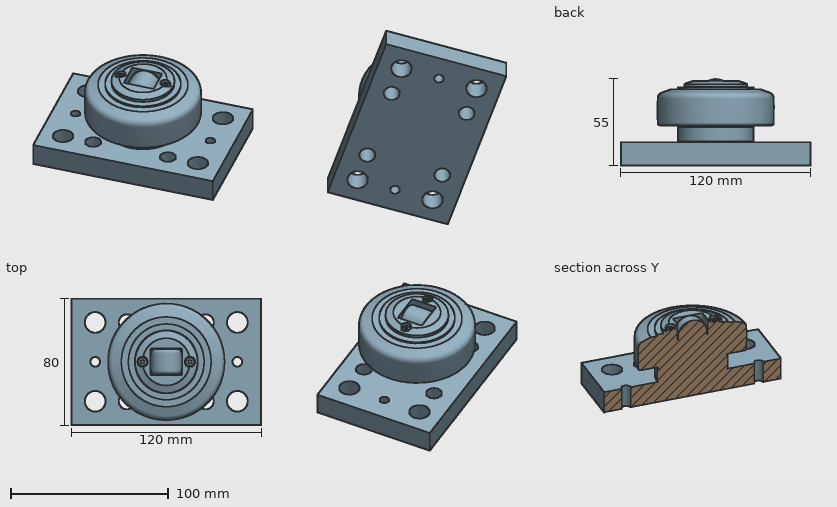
import cadquery as cq

plate_length = 120.0
plate_width = 80.0
plate_height = 15.0
hole_row_x = 45.0
hole_row_y = 25.0
inner_hole_x = hole_row_y
mounting_diameter = 13.0
inner_diameter = 10.1
dowel_diameter = 6.0

neck_radius = 24.0
neck_top = 24.8
race_top = 49.5
neck_chamfer = 0.5

ring_radius = 37.0
ring_crown = 0.1
ring_bottom = 25.5
ring_top = 48.5
ring_flat_radius = 28.5
ring_bottom_edge = 1.8
cone_end_radius = 34.2
cone_end_z = 46.3
ring_side_top = 42.7
ring_top_arc_radius = 4.1

cover_radius = 40.0 / 2
cover_flat_radius = 15.0
cover_cone_z = 51.7
cover_top = 53.6
cover_chamfer = 0.3

window_length = 20.0
window_width = 17.0
window_corner = 1.1
window_depth = 10.8
roller_radius = 10.0
roller_length = 16.0
roller_edge = 2.4
roller_crown = 0.1
overall_height = 55.0
roller_axis_z = overall_height - roller_radius

screw_x = 15.0
screw_hole_diameter = 6.5
screw_head_diameter = 6.0
screw_head_chamfer = 0.3
screw_socket_diameter = 2.4
screw_head_top = 51.6
screw_hole_bottom = 50.4
screw_socket_depth = 0.7
socket_turn = 30


def make_plate():
    """Plate with its mounting, inner and dowel holes all drilled through."""
    plate = cq.Workplane("XY").box(plate_length, plate_width, plate_height, centered=(True, True, False))
    corners = [(sx, sy) for sx in (-1, 1) for sy in (-1, 1)]
    mounting_points = [(sx * hole_row_x, sy * hole_row_y) for sx, sy in corners]
    inner_points = [(sx * inner_hole_x, sy * hole_row_y) for sx, sy in corners]
    dowel_points = [(-hole_row_x, 0), (hole_row_x, 0)]
    for points, diameter in (
        (mounting_points, mounting_diameter),
        (inner_points, inner_diameter),
        (dowel_points, dowel_diameter),
    ):
        plate = plate.cut(cq.Workplane("XY").pushPoints(points).circle(diameter / 2).extrude(plate_height))
    return plate


def make_ring_stack():
    """Neck, roller ring and cover as one turned profile in the XZ plane."""
    side_radius = ring_radius - ring_crown
    side_bottom = ring_bottom + ring_bottom_edge
    side_middle = (side_bottom + ring_side_top) / 2
    profile = (
        cq.Workplane("XZ")
        .moveTo(0, plate_height)
        .lineTo(neck_radius - neck_chamfer, plate_height)
        .lineTo(neck_radius, plate_height + neck_chamfer)
        .lineTo(neck_radius, neck_top - neck_chamfer)
        .lineTo(neck_radius - neck_chamfer, neck_top)
        .lineTo(neck_radius, ring_bottom)
        .lineTo(side_radius - ring_bottom_edge, ring_bottom)
        .radiusArc((side_radius, side_bottom), -ring_bottom_edge)
        .threePointArc((ring_radius, side_middle), (side_radius, ring_side_top))
        .radiusArc((cone_end_radius, cone_end_z), -ring_top_arc_radius)
        .lineTo(ring_flat_radius, ring_top)
        .lineTo(neck_radius, ring_top)
        .lineTo(neck_radius, race_top)
        .lineTo(cover_radius - cover_chamfer, race_top)
        .lineTo(cover_radius, race_top + cover_chamfer)
        .lineTo(cover_radius, cover_cone_z)
        .lineTo(cover_flat_radius, cover_top)
        .lineTo(0, cover_top)
        .close()
    )
    return profile.revolve(360, (0, 0, 0), (0, 1, 0))


def make_window():
    """Round-cornered pocket cut into the cover around the axial roller."""
    return (
        cq.Workplane("XY", origin=(0, 0, cover_top - window_depth))
        .rect(window_length, window_width)
        .extrude(window_depth)
        .edges("|Z")
        .fillet(window_corner)
    )


def make_axial_roller():
    """Crowned roller turned about an axis along Y, with rounded rims."""
    half_length = roller_length / 2
    rim_y = half_length - roller_edge
    rim_radius = roller_radius - roller_crown
    face_radius = rim_radius - roller_edge
    profile = (
        cq.Workplane("YZ", origin=(0, 0, roller_axis_z))
        .moveTo(-half_length, 0)
        .lineTo(-half_length, face_radius)
        .radiusArc((-rim_y, rim_radius), roller_edge)
        .threePointArc((0, roller_radius), (rim_y, rim_radius))
        .radiusArc((half_length, face_radius), roller_edge)
        .lineTo(half_length, 0)
        .close()
    )
    return profile.revolve(360, (0, 0, 0), (1, 0, 0))


def add_screws(body):
    """Sink two hex-socket screw heads into the cover, on either side of the window."""
    for x in (-screw_x, screw_x):
        hole = cq.Workplane("XY", origin=(x, 0, screw_hole_bottom))
        head = hole.circle(screw_head_diameter / 2).extrude(screw_head_top - screw_hole_bottom)
        head = head.faces(">Z").chamfer(screw_head_chamfer)
        socket = (
            cq.Workplane("XY", origin=(x, 0, screw_head_top))
            .transformed(rotate=(0, 0, socket_turn))
            .polygon(6, screw_socket_diameter)
            .extrude(-screw_socket_depth)
        )
        body = body.cut(hole.circle(screw_hole_diameter / 2).extrude(cover_top - screw_hole_bottom))
        body = body.union(head).cut(socket)
    return body


stack = make_ring_stack().cut(make_window()).union(make_axial_roller())
result = make_plate().union(add_screws(stack))